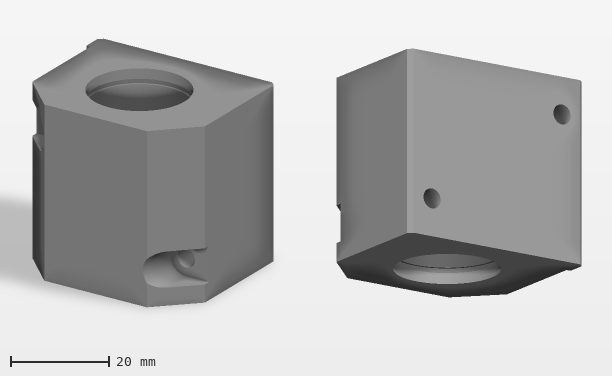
import cadquery as cq

width = 43.0
depth = 35.0
height = 39.0

lip_width = 1.0
lip_depth = 5.0
back_chamfer = 1.0
front_chamfer = 8.5

bore_diameter = 22.0
groove_diameter = 23.0
groove_width = 1.1
groove_from_end = 2.32
bore_from_back = 18.0

hole_diameter = 4.2
seat_width = 8.0
seat_depth = 10.0
hole_from_end = 8.0
hole_from_side = 5.5

right = width / 2
left = -right
body_left = left + lip_width
back = depth / 2
front = -back
top = height / 2
bottom = -top


def make_block():
    """Extrude the chamfered outline, with the locating lip at the back left."""
    outline = [
        (left + back_chamfer, back),
        (right - back_chamfer, back),
        (right, back - back_chamfer),
        (right, front + front_chamfer),
        (right - front_chamfer, front),
        (body_left + front_chamfer, front),
        (body_left, front + front_chamfer),
        (body_left, back - lip_depth),
        (left, back - lip_depth),
        (left, back - back_chamfer),
    ]
    return cq.Workplane("XY").workplane(offset=bottom).polyline(outline).close().extrude(height)


def z_cylinder(diameter, z_start, length):
    """Cylinder on the bore axis."""
    plane = cq.Workplane("XY", origin=(0, back - bore_from_back, z_start))
    return plane.circle(diameter / 2).extrude(length)


def screw_cutter(x, z, outward):
    """Through hole along Y and a round-ended seat open to the nearer side (outward is -1 or 1)."""
    hole = cq.Workplane("XZ", origin=(x, back, z)).circle(hole_diameter / 2).extrude(depth)
    seat_plane = cq.Workplane("XZ", origin=(x, front + seat_depth, z))
    round_end = seat_plane.circle(seat_width / 2).extrude(seat_depth)
    open_length = seat_width
    open_end = (
        seat_plane.center(outward * open_length / 2, 0)
        .rect(open_length, seat_width)
        .extrude(seat_depth)
    )
    return hole.union(round_end).union(open_end)


result = make_block()
result = result.cut(z_cylinder(bore_diameter, bottom, height))
for groove_start in (bottom + groove_from_end, top - groove_from_end - groove_width):
    result = result.cut(z_cylinder(groove_diameter, groove_start, groove_width))
result = result.cut(screw_cutter(left + hole_from_side, top - hole_from_end, -1))
result = result.cut(screw_cutter(right - hole_from_side, bottom + hole_from_end, 1))